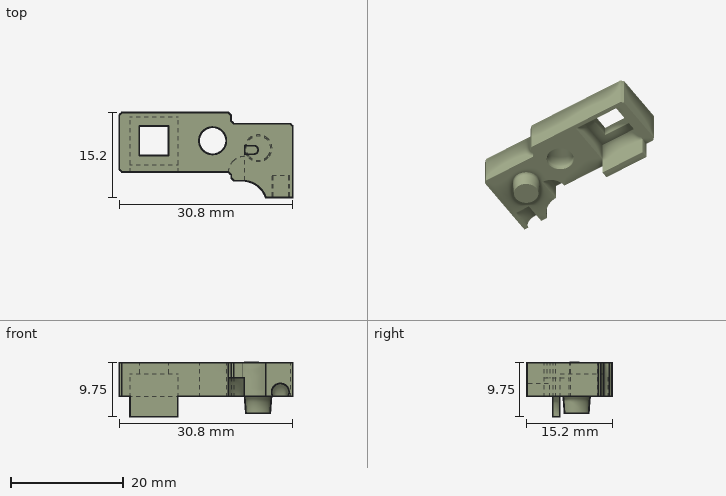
import cadquery as cq
import math

length = 30.83
depth = 15.15
thickness = 6.0
chamfer = 0.5

arm_length = 19.85
arm_front = 4.55
head_front = 3.0
head_back = 13.15
arc_radius = 4.4
arc_center_x = 21.85
arc_center_y = head_front - arc_radius

window_x = 6.15
axis_y = 10.1
window_size = 5.15
recess_size = 8.5
recess_ceiling = 4.0

tab_drop = 3.65
tab_thickness = axis_y - recess_size / 2 - arm_front

hole_x = 16.58
hole_diameter = 4.8
pin_x = 24.64
pin_y = 8.83
pin_root_diameter = 4.8
pin_tip_diameter = 4.35
pin_length = 3.0

relief_left = arm_length - chamfer
relief_right = 22.2
relief_height = 3.3
relief_radius = relief_right - relief_left

channel_x = 28.6
channel_z = 0.75
channel_diameter = 3.1
channel_depth = 4.0

pad_left = 22.25
pad_front = 7.73
pad_length = 2.4
pad_width = 1.5
pad_height = 0.1


def plate():
    arc_end_x = arc_center_x + math.sqrt(arc_radius**2 - arc_center_y**2)
    mid_angle = (math.pi / 2 + math.atan2(-arc_center_y, arc_end_x - arc_center_x)) / 2
    arc_mid = (
        arc_center_x + arc_radius * math.cos(mid_angle),
        arc_center_y + arc_radius * math.sin(mid_angle),
    )
    outline = (
        cq.Workplane("XY")
        .moveTo(chamfer, arm_front)
        .lineTo(arm_length - chamfer, arm_front)
        .lineTo(arm_length, arm_front - chamfer)
        .lineTo(arm_length, head_front + chamfer)
        .lineTo(arm_length + chamfer, head_front)
        .lineTo(arc_center_x, head_front)
        .threePointArc(arc_mid, (arc_end_x, 0))
        .lineTo(length, 0)
        .lineTo(length, head_back - chamfer)
        .lineTo(length - chamfer, head_back)
        .lineTo(arm_length + chamfer, head_back)
        .lineTo(arm_length, head_back + chamfer)
        .lineTo(arm_length, depth - chamfer)
        .lineTo(arm_length - chamfer, depth)
        .lineTo(chamfer, depth)
        .lineTo(0, depth - chamfer)
        .lineTo(0, arm_front + chamfer)
        .close()
    )
    return outline.extrude(thickness)


def tab():
    left = window_x - recess_size / 2
    return (
        cq.Workplane("XY")
        .box(recess_size, tab_thickness, tab_drop + recess_ceiling, centered=False)
        .translate((left, arm_front, -tab_drop))
    )


def pin():
    return (
        cq.Workplane("XY")
        .center(pin_x, pin_y)
        .circle(pin_root_diameter / 2)
        .workplane(offset=-pin_length)
        .circle(pin_tip_diameter / 2)
        .loft()
    )


def window():
    site = cq.Workplane("XY").center(window_x, axis_y)
    opening = site.rect(window_size, window_size).extrude(thickness)
    recess = site.rect(recess_size, recess_size).extrude(recess_ceiling)
    return opening.union(recess)


def hole():
    return cq.Workplane("XY").center(hole_x, axis_y).circle(hole_diameter / 2).extrude(thickness)


def relief():
    return (
        cq.Workplane("XY")
        .moveTo(relief_left, 0)
        .lineTo(relief_right, 0)
        .lineTo(relief_right, arm_front + relief_radius)
        .radiusArc((relief_left, arm_front), -relief_radius)
        .close()
        .extrude(relief_height)
    )


def channel():
    return (
        cq.Workplane("XZ")
        .center(channel_x, channel_z)
        .circle(channel_diameter / 2)
        .extrude(-channel_depth)
    )


def pad():
    end_radius = pad_width / 2
    straight = pad_length - end_radius
    return (
        cq.Workplane("XY", origin=(pad_left, pad_front, thickness))
        .lineTo(straight, 0)
        .threePointArc((pad_length, end_radius), (straight, pad_width))
        .lineTo(0, pad_width)
        .close()
        .extrude(pad_height)
    )


body = plate().union(tab()).union(pin()).union(pad())
result = body.cut(window()).cut(hole()).cut(relief()).cut(channel())